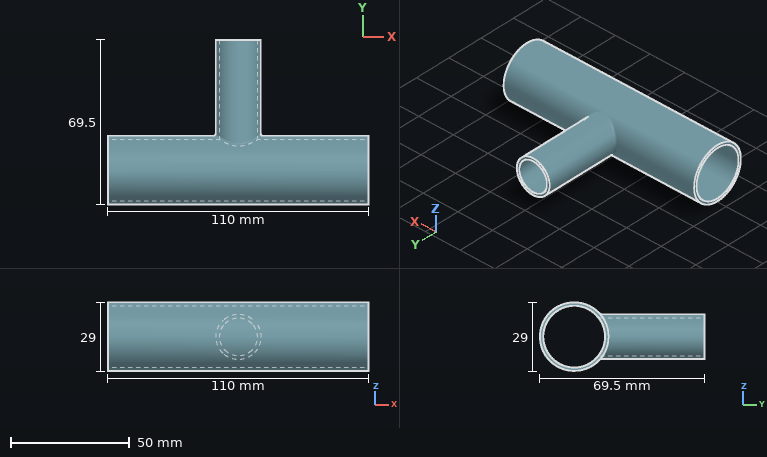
import cadquery as cq

run_length = 110.0
run_outer_diameter = 29.0
run_bore_diameter = 26.0

branch_reach = 55.0
branch_outer_diameter = 19.0
branch_bore_diameter = 16.0

blend_radius = 1.0


def run_cylinder(diameter):
    """Cylinder along X, centred on the origin."""
    return cq.Workplane("YZ").circle(diameter / 2).extrude(run_length / 2, both=True)


def branch_cylinder(diameter):
    """Cylinder from the run axis to the open end of the branch."""
    return cq.Workplane("XZ").circle(diameter / 2).extrude(-branch_reach)


def outer_body():
    """Solid tee with its outer junction rounded."""
    run = run_cylinder(run_outer_diameter)
    tee = run.union(branch_cylinder(branch_outer_diameter))
    junction_zone = cq.selectors.BoxSelector(
        (-branch_outer_diameter, 0, -branch_outer_diameter),
        (branch_outer_diameter, run_outer_diameter / 2, branch_outer_diameter),
    )
    return tee.edges(junction_zone).edges("not %LINE").fillet(blend_radius)


bores = run_cylinder(run_bore_diameter).union(branch_cylinder(branch_bore_diameter))
result = outer_body().cut(bores)